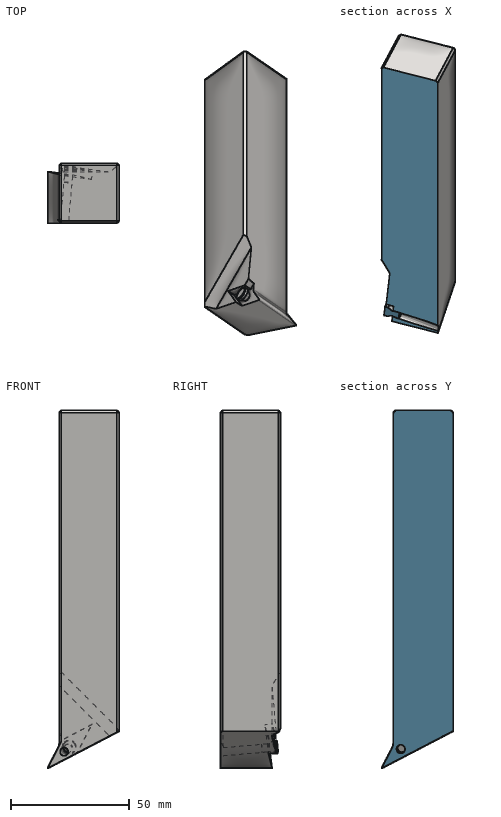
import cadquery as cq
import math

SHANK_SIDE = 25.4
TOTAL_LENGTH = 150.86
TOTAL_WIDTH = 30.22
EDGE_CHAMFER = 1.0
NOSE_REACH = TOTAL_WIDTH - SHANK_SIDE

BOTTOM_ANGLE = 27.5
NOSE_ANGLE = 35.0
LEFT_ANGLE = BOTTOM_ANGLE + NOSE_ANGLE
AXIS_ANGLE = BOTTOM_ANGLE + NOSE_ANGLE / 2
NOSE_RADIUS = 0.2
BLEND_RADIUS = 4.5
WEDGE_INSET = 2.0

SEAT_TILT = 7.0
SEAT_HEIGHT = 21.87
INSERT_WIDTH = 7.94
RELIEF_Z = 14.3
RELIEF_ANGLE = -45.0

RECESS_RISE = 3.3
RECESS_LENGTH = 28.2
RECESS_WALL_ANGLE = 45.0

SCREW_DISTANCE = 12.8
HOLE_DIAMETER = 3.4
HEAD_DIAMETER = 5.8
HEAD_TOP = 3.7
HEAD_CHAMFER = 0.3
HEAD_UNDERSIDE = 2.2
SHANK_DEPTH = 3.0

CUT_REACH = 60.0


def direction(angle, length=1.0):
    """Vector in the XZ plane, as an (x, z) pair."""
    turn = math.radians(angle)
    return length * math.cos(turn), length * math.sin(turn)


def shifted(point, angle, length):
    """Point in the XZ plane moved by a length along an angle."""
    dx, dz = direction(angle, length)
    return point[0] + dx, point[1] + dz


nose_centre = (NOSE_RADIUS - NOSE_REACH, NOSE_RADIUS)
nose_left = shifted(nose_centre, LEFT_ANGLE + 90, NOSE_RADIUS)
nose_end = shifted(nose_centre, AXIS_ANGLE + 180, NOSE_RADIUS)
nose_bottom = shifted(nose_centre, BOTTOM_ANGLE - 90, NOSE_RADIUS)
tip_offset = NOSE_RADIUS / math.sin(math.radians(NOSE_ANGLE / 2))
tip = shifted(nose_centre, AXIS_ANGLE + 180, tip_offset)


def bottom_z(x):
    """Height of the sloping bottom face."""
    return tip[1] + (x - tip[0]) * math.tan(math.radians(BOTTOM_ANGLE))


def left_z(x):
    """Height of the left side of the nose."""
    return tip[1] + (x - tip[0]) * math.tan(math.radians(LEFT_ANGLE))


tilt = math.radians(SEAT_TILT)
axis_x, axis_z = direction(AXIS_ANGLE)
seat_normal = cq.Vector(axis_x * math.sin(tilt), math.cos(tilt), axis_z * math.sin(tilt))
seat_axis = cq.Vector(axis_x * math.cos(tilt), -math.sin(tilt), axis_z * math.cos(tilt))
seat_plane = cq.Plane(cq.Vector(tip[0], SEAT_HEIGHT, tip[1]), seat_axis, seat_normal)


def shank():
    """Chamfered square bar with a sloping lower end."""
    bar = cq.Workplane("XY").box(SHANK_SIDE, SHANK_SIDE, TOTAL_LENGTH, centered=False)
    bar = bar.edges("|Z or >Z").chamfer(EDGE_CHAMFER)
    below = (
        cq.Workplane("XZ")
        .polyline([tip, (SHANK_SIDE, bottom_z(SHANK_SIDE)), (SHANK_SIDE, tip[1])])
        .close()
        .extrude(-SHANK_SIDE)
    )
    return bar.cut(below)


def nose():
    """Wedge of full bar depth, its left side running on into the shank."""
    return (
        cq.Workplane("XZ")
        .moveTo(*nose_bottom)
        .threePointArc(nose_end, nose_left)
        .lineTo(WEDGE_INSET, left_z(WEDGE_INSET))
        .lineTo(WEDGE_INSET, bottom_z(WEDGE_INSET))
        .close()
        .extrude(-SHANK_SIDE)
    )


def blank():
    """Shank and nose, blended where the nose leaves the left face."""
    joined = shank().union(nose())
    corner = (0, SHANK_SIDE / 2, left_z(0))
    return joined.edges(cq.NearestToPointSelector(corner)).fillet(BLEND_RADIUS)


def on_seat(point):
    """Seat-frame coordinates of the seat point that has the given (x, z)."""
    dx = point[0] - tip[0]
    dz = point[1] - tip[1]
    inward = (dx * axis_x + dz * axis_z) / math.cos(tilt)
    sideways = dx * axis_z - dz * axis_x
    return inward, sideways


def seat_pocket():
    """Rhombic insert seat with a relief at its left corner, open toward the nose."""
    side = INSERT_WIDTH / math.sin(math.radians(NOSE_ANGLE))
    left_corner = shifted(tip, LEFT_ANGLE, side)
    far_corner = shifted(left_corner, BOTTOM_ANGLE, side)
    upper_slope = math.tan(math.radians(BOTTOM_ANGLE))
    relief_slope = math.tan(math.radians(RELIEF_ANGLE))
    upper_z = left_corner[1] - upper_slope * left_corner[0]
    relief_x = (RELIEF_Z - upper_z) / (upper_slope - relief_slope)
    relief_end = (relief_x, RELIEF_Z + relief_slope * relief_x)
    footprint = [
        shifted(relief_end, RELIEF_ANGLE + 180, CUT_REACH),
        relief_end,
        far_corner,
        shifted(far_corner, LEFT_ANGLE + 180, CUT_REACH),
    ]
    return (
        cq.Workplane(seat_plane)
        .polyline([on_seat(point) for point in footprint])
        .close()
        .extrude(RECESS_RISE)
    )


def chip_recess():
    """Space above the recess floor, from beyond the nose to the sloping back wall."""
    rise = SHANK_SIDE / 2
    run = rise / math.tan(math.radians(RECESS_WALL_ANGLE))
    section = [(-CUT_REACH, 0), (RECESS_LENGTH, 0), (RECESS_LENGTH + run, rise), (-CUT_REACH, rise)]
    side = cq.Plane(seat_plane.toWorldCoords((0, 0, RECESS_RISE)), seat_axis, seat_plane.yDir * -1)
    return cq.Workplane(side).polyline(section).close().extrude(CUT_REACH, both=True)


def screw_hole():
    """Plain hole through the holder, square to the seat."""
    return (
        cq.Workplane(seat_plane)
        .center(SCREW_DISTANCE, 0)
        .circle(HOLE_DIAMETER / 2)
        .extrude(CUT_REACH / 2, both=True)
    )


def clamp_screw():
    """Short screw with a tapered, chamfered head."""
    outline = [
        (0, -SHANK_DEPTH),
        (HOLE_DIAMETER / 2, -SHANK_DEPTH),
        (HOLE_DIAMETER / 2, 0),
        (HEAD_DIAMETER / 2, HEAD_UNDERSIDE),
        (HEAD_DIAMETER / 2, HEAD_TOP - HEAD_CHAMFER),
        (HEAD_DIAMETER / 2 - HEAD_CHAMFER, HEAD_TOP),
        (0, HEAD_TOP),
    ]
    base = seat_plane.toWorldCoords((SCREW_DISTANCE, 0, 0))
    side = cq.Plane(base, seat_axis, seat_plane.yDir * -1)
    return cq.Workplane(side).polyline(outline).close().revolve(360, (0, 0), (0, 1))


holder = blank().cut(chip_recess()).cut(seat_pocket()).cut(screw_hole())
screw = clamp_screw()

result = cq.Compound.makeCompound([holder.val(), screw.val()])